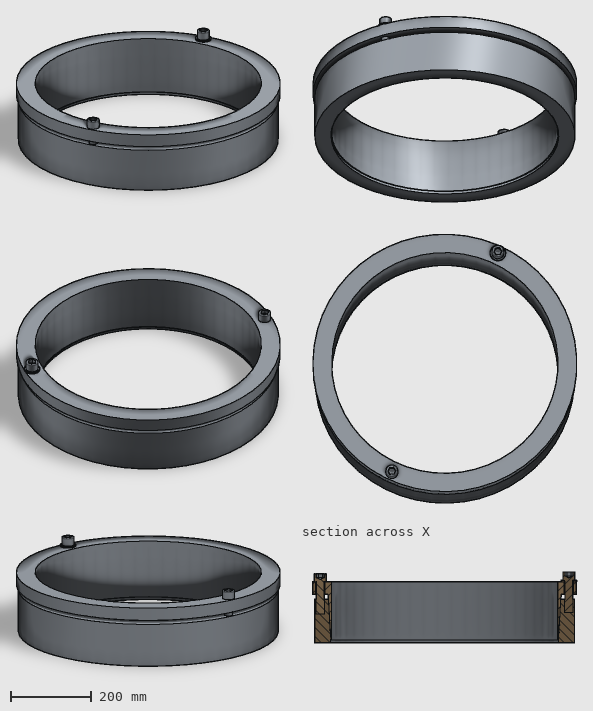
import cadquery as cq
import math

flange_diameter = 654.0
flange_bottom = 120.0
flange_top = 151.0
sleeve_bottom = 7.0
bore_diameter = 560.0

housing_diameter = 645.0
housing_top = 108.0
taper_bottom_diameter = 564.0
taper_angle = 3.5

screw_circle_diameter = 616.0
shank_diameter = 20.0
screw_length = 80.0
head_diameter = 30.0
head_height = 20.0
head_edge_radius = 2.0
socket_flats = 17.0
socket_depth = 10.0
socket_cone_depth = 4.5
flange_hole_diameter = 22.0

washer_diameter = 39.0
washer_bore = 21.5
washer_thickness = 4.0
washer_chamfer = 0.5

front_screw = (0, -screw_circle_diameter / 2, flange_top)
rear_washer = (0, screw_circle_diameter / 2, flange_top)
rear_screw = (0, screw_circle_diameter / 2, flange_top + washer_thickness)
screw_seats = [front_screw, rear_screw]


def cylinder(diameter, bottom, top, x=0, y=0):
    """Upright cylinder between two heights."""
    return cq.Workplane(origin=(x, y, bottom)).circle(diameter / 2).extrude(top - bottom)


def taper_radius(height):
    """Radius of the shared taper at a height above the bottom of the housing."""
    return taper_bottom_diameter / 2 + height * math.tan(math.radians(taper_angle))


def taper_cone(bottom, top):
    """Solid stretch of the taper between two heights."""
    cone = cq.Solid.makeCone(taper_radius(bottom), taper_radius(top), top - bottom, cq.Vector(0, 0, bottom))
    return cq.Workplane(cone)


def make_clamping_ring():
    """Flange and sleeve with one bore and two clearance holes for the screws."""
    ring = cylinder(flange_diameter, flange_bottom, flange_top)
    ring = ring.union(taper_cone(sleeve_bottom, flange_bottom))
    ring = ring.cut(cylinder(bore_diameter, sleeve_bottom, flange_top))
    for x, y, _ in screw_seats:
        ring = ring.cut(cylinder(flange_hole_diameter, flange_bottom, flange_top, x, y))
    return ring


def make_housing():
    """Tube with a tapered bore and a blind hole that fits the end of each screw."""
    housing = cylinder(housing_diameter, 0, housing_top)
    housing = housing.cut(taper_cone(0, housing_top))
    for x, y, seat in screw_seats:
        housing = housing.cut(cylinder(shank_diameter, seat - screw_length, housing_top, x, y))
    return housing


def make_screw(x, y, seat):
    """Socket head screw whose head rests at the seat height."""
    head_top = seat + head_height
    blank = cylinder(head_diameter, seat, head_top, x, y)
    head = blank.faces(">Z").edges().fillet(head_edge_radius)
    shank = cylinder(shank_diameter, seat - screw_length, seat, x, y)
    return head.union(shank).cut(make_socket(x, y, head_top))


def make_socket(x, y, head_top):
    """Hexagonal recess with flats facing along X and a conical floor."""
    floor = head_top - socket_depth
    hexagon = (
        cq.Workplane(origin=(x, y, floor))
        .polygon(6, socket_flats, circumscribed=True)
        .extrude(socket_depth)
    )
    tip_direction = cq.Vector(0, 0, -1)
    cone = cq.Solid.makeCone(socket_flats / 2, 0, socket_cone_depth, cq.Vector(x, y, floor), tip_direction)
    return hexagon.union(cq.Workplane(cone))


def make_washer(x, y, seat):
    """Flat washer with both outer edges chamfered, lying on the flange."""
    blank = cylinder(washer_diameter, seat, seat + washer_thickness, x, y)
    washer = blank.edges().chamfer(washer_chamfer)
    return washer.cut(cylinder(washer_bore, seat, seat + washer_thickness, x, y))


clamping_ring = make_clamping_ring()
housing = make_housing()
washer = make_washer(*rear_washer)
screws = [make_screw(*seat) for seat in screw_seats]

result = cq.Compound.makeCompound(
    [clamping_ring.val(), housing.val(), washer.val(), *[screw.val() for screw in screws]]
)